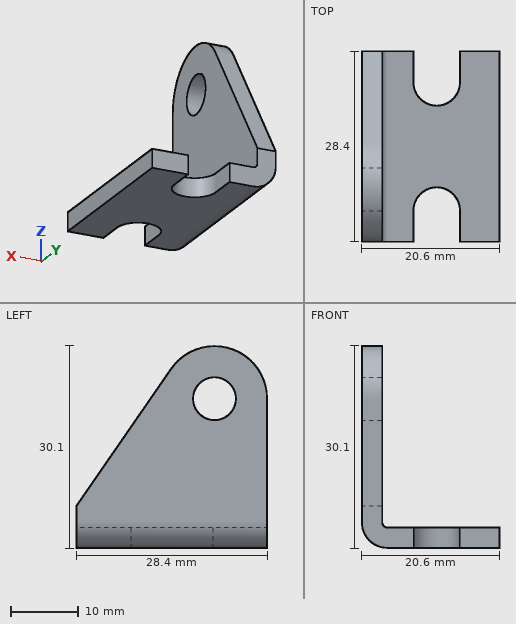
import cadquery as cq
import math

base_length = 20.57
width = 28.45
height = 30.12

thickness = 3.07
bend_outer_radius = 3.83
bend_inner_radius = bend_outer_radius - thickness

eye_radius = 7.85
eye_hole_diameter = 6.35
rear_edge_height = 6.25
eye_y = eye_radius
eye_z = height - eye_radius

slot_width = 6.9
slot_depth = 8.13
slot_x = 11.17


def make_bent_sheet():
    """L-shaped sheet with a rounded bend, running along Y."""
    blank = (
        cq.Workplane("XZ")
        .polyline([
            (0, 0),
            (base_length, 0),
            (base_length, thickness),
            (thickness, thickness),
            (thickness, height),
            (0, height),
        ])
        .close()
        .extrude(-width)
    )
    outer_corner = cq.selectors.NearestToPointSelector((0, width / 2, 0))
    inner_corner = cq.selectors.NearestToPointSelector((thickness, width / 2, thickness))
    blank = blank.edges("|Y").edges(outer_corner).fillet(bend_outer_radius)
    return blank.edges("|Y").edges(inner_corner).fillet(bend_inner_radius)


def eye_point(angle):
    """Point on the rounded eye, with the angle measured from +Y towards +Z."""
    return (eye_y + eye_radius * math.cos(angle), eye_z + eye_radius * math.sin(angle))


def make_upright_outline():
    """Side outline, extruded over the full base length to trim the sheet."""
    run = width - eye_y
    rise = rear_edge_height - eye_z
    tangent_angle = math.atan2(rise, run) + math.acos(eye_radius / math.hypot(run, rise))
    arc_middle_angle = (tangent_angle + math.pi) / 2
    return (
        cq.Workplane("YZ")
        .moveTo(0, 0)
        .lineTo(width, 0)
        .lineTo(width, rear_edge_height)
        .lineTo(*eye_point(tangent_angle))
        .threePointArc(eye_point(arc_middle_angle), eye_point(math.pi))
        .close()
        .extrude(base_length)
    )


def make_eye_hole():
    return (
        cq.Workplane("YZ")
        .center(eye_y, eye_z)
        .circle(eye_hole_diameter / 2)
        .extrude(thickness)
    )


def make_slot(edge_y):
    """Round-ended slot centred on a side edge, so half of it cuts the base."""
    return (
        cq.Workplane("XY")
        .center(slot_x, edge_y)
        .slot2D(2 * slot_depth, slot_width, 90)
        .extrude(thickness)
    )


result = make_bent_sheet().intersect(make_upright_outline()).cut(make_eye_hole())
for side_edge_y in (0, width):
    result = result.cut(make_slot(side_edge_y))